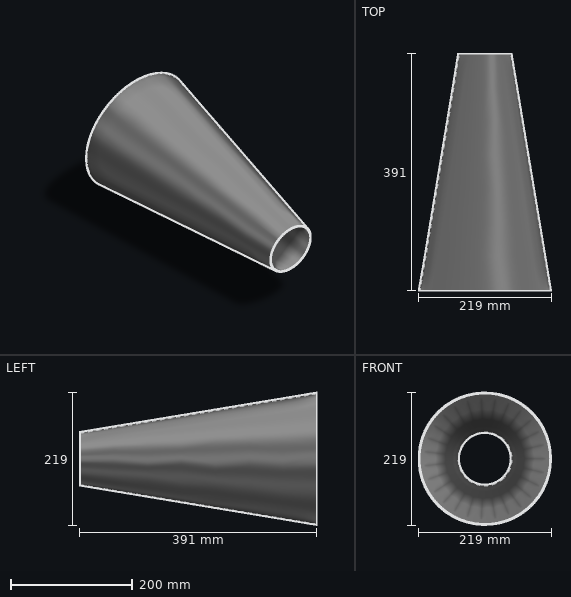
import cadquery as cq

length = 391.0
large_diameter = 219.0
small_diameter = 88.8
wall = 2.0

large_radius = large_diameter / 2
small_radius = small_diameter / 2

wall_section = [
    (large_radius - wall, 0),
    (large_radius, 0),
    (small_radius, length),
    (small_radius - wall, length),
]

result = cq.Workplane("XY").polyline(wall_section).close().revolve(360, (0, 0, 0), (0, 1, 0))